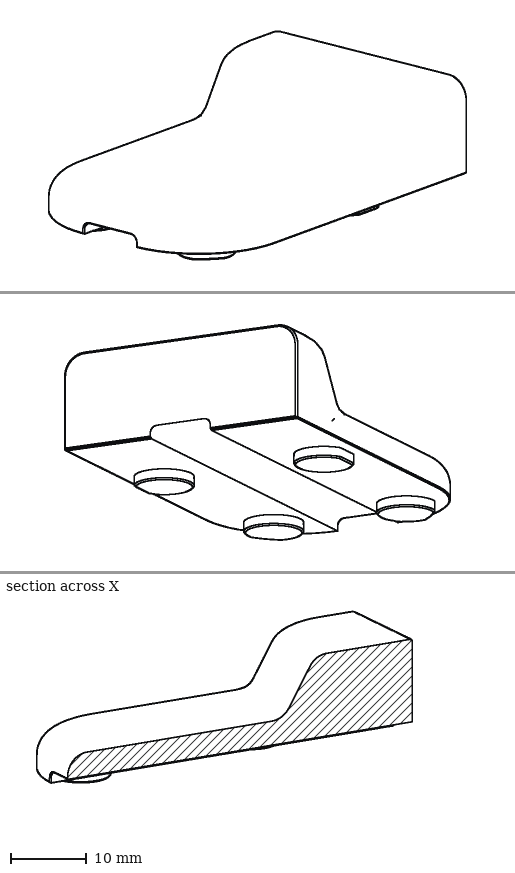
import cadquery as cq

width = 35.0
length = 53.0
body_height = 13.15
slab_height = 5.05
front_corner_radius = 13.0
edge_radius = 3.0

block_top_depth = 14.9
block_foot_depth = 19.9
block_corner_radius = 9.95
joint_radius = 3.0

back_chamfer = 0.25
base_chamfer = 0.15

channel_width = 9.0
channel_height = 1.65
channel_corner_radius = 1.0
mouth_chamfer = 0.15

foot_height = 1.45
foot_radius = 4.0
foot_inset = 2.0
foot_corner_radius = 0.95
foot_chamfer = 0.2
front_foot_x = 9.95
front_foot_y = 7.95
rear_foot_x = 12.0
rear_foot_y = 35.05


def rounded_front_plan(inset, z_bottom, height):
    """Prism of the body outline set in by `inset`, with a rounded front end."""
    plan = cq.Workplane("XY", origin=(0, 0, z_bottom)).rect(width - 2 * inset, length - 2 * inset)
    prism = plan.extrude(height).translate((0, length / 2, 0))
    return prism.edges("|Z and <Y").fillet(front_corner_radius - inset)


def make_slab():
    slab = rounded_front_plan(0, 0, slab_height)
    return slab.faces(">Z").edges("not >Y").fillet(edge_radius)


def make_block():
    slope = (block_foot_depth - block_top_depth) / (body_height - slab_height)
    base_depth = block_foot_depth + slope * slab_height
    profile = [
        (length, 0),
        (length, body_height),
        (length - block_top_depth, body_height),
        (length - base_depth, 0),
    ]
    block = cq.Workplane("YZ").polyline(profile).close().extrude(width / 2, both=True)
    sloping_edges = block.faces("<Y").edges("not |X")
    block = sloping_edges.fillet(block_corner_radius)
    return block.faces(">Z").edges("not >Y").fillet(edge_radius)


def join_slab_and_block(slab, block):
    """Merge the two and round the inner corner where the sloping wall meets the slab top."""
    body = slab.union(block)
    wall_foot_y = length - block_foot_depth
    inner_corner = cq.selectors.NearestToPointSelector((0, wall_foot_y, slab_height))
    return body.edges(inner_corner).fillet(joint_radius)


def channel_profile(offset):
    """Channel section at the front end, grown by `offset`; its lower half lies below the body."""
    section = cq.Sketch().rect(channel_width + 2 * offset, 2 * (channel_height + offset))
    section = section.vertices().fillet(channel_corner_radius + offset)
    front_plane = cq.Plane(origin=(0, 0, 0), xDir=(1, 0, 0), normal=(0, 1, 0))
    return cq.Workplane(front_plane).placeSketch(section)


def make_channel():
    """Channel running the whole length, widened at its front mouth by a 45 degree chamfer."""
    channel = channel_profile(0).extrude(length)
    mouth = channel_profile(mouth_chamfer).extrude(mouth_chamfer, taper=45)
    return channel.union(mouth)


def make_foot(x, y):
    pad = cq.Workplane("XY", origin=(x, y, -foot_height)).circle(foot_radius).extrude(foot_height)
    foot = pad.intersect(rounded_front_plan(foot_inset, -foot_height, foot_height))
    foot = foot.edges("|Z").fillet(foot_corner_radius)
    return foot.faces("<Z").edges().chamfer(foot_chamfer)


body = join_slab_and_block(make_slab(), make_block())
body = body.faces(">Y").edges().chamfer(back_chamfer)
body = body.faces("<Z").edges().chamfer(base_chamfer)
body = body.cut(make_channel())
for side in (-1, 1):
    body = body.union(make_foot(side * front_foot_x, front_foot_y))
    body = body.union(make_foot(side * rear_foot_x, rear_foot_y))

result = body